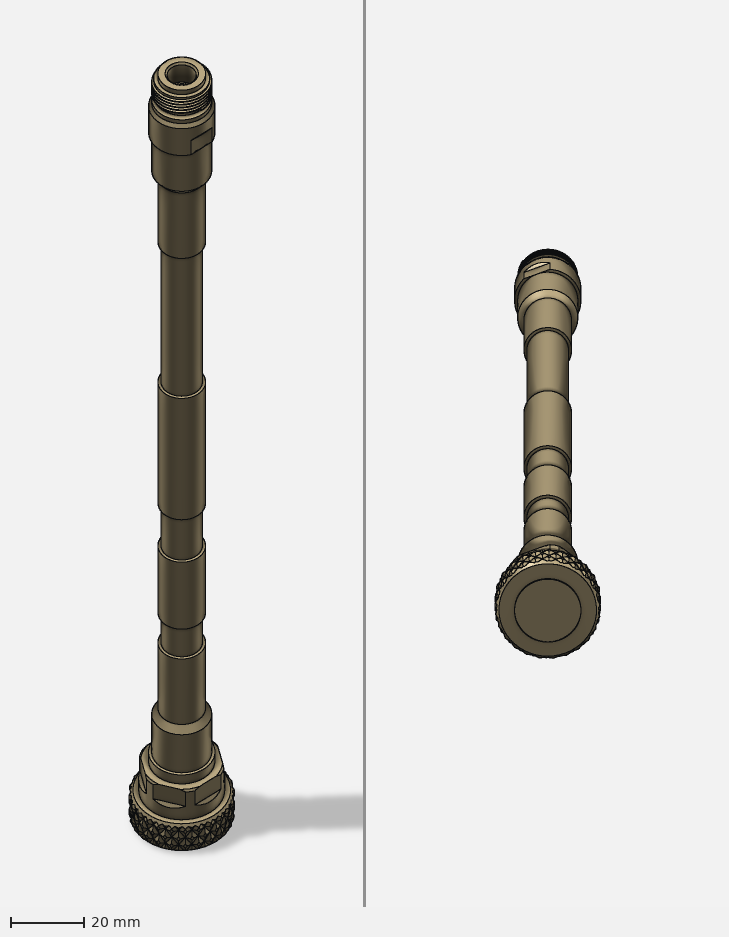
import cadquery as cq
import math


total_length = 283.5

cable_radius = 5.7
sleeve_radius = 6.5
marker_spans = [(120.0, 166.0), (78.2, 103.7)]

boot_radius = 8.2
boot_wall = 0.9
boot_length = 41.7
boot_wide_length = 14.5
boot_taper_length = 2.3

collar_radius = 9.0

nut_radius = 14.5
nut_height = 10.8
nut_lift = 0.5
nut_chamfer = 1.0
knurl_starts = 24
knurl_depth = 0.5
knurl_twist = 28.0
knurl_overshoot = 0.3
ring_diameter = 23.5
ring_top = 21.8
ring_chamfer = 0.5
ring_flats = 6
ring_flat_distance = 10.8
ring_flat_bottom = 16.0
bottom_collar_top = 25.2

top_collar_bottom = 261.0
top_collar_shoulder = 271.2
top_collar_taper = 1.0
top_flange_radius = 8.2
top_flange_top = 273.8
nose_radius = 6.5
top_flats = 2
top_flat_distance = 8.2
top_flat_top = 266.5
thread_bottom = 275.0
thread_top = 281.7
thread_core_radius = 7.7
thread_radius = 8.2
thread_pitch = 1.05
thread_root_half_width = 0.45
thread_crest_half_width = 0.15
thread_embed = 0.3
thread_end_margin = 0.5

bore_radius = 4.0
bore_depth = 8.5
bore_chamfer = 0.5
bore_step_radius = 3.0
bore_step_depth = 7.0
contact_radius = 1.0
contact_height = 4.3
contact_hole_radius = 0.5
contact_hole_depth = 2.8

tail_radius = boot_radius - boot_wall
bottom_tail_end = bottom_collar_top + boot_wide_length
top_tail_end = top_collar_bottom - boot_wide_length
ring_radius = ring_diameter / 2


def cylinder(radius, bottom, top):
    """Solid cylinder on the Z axis between two heights."""
    return cq.Workplane("XY").workplane(offset=bottom).circle(radius).extrude(top - bottom)


def revolved(profile):
    """Solid of revolution about Z from (radius, height) points."""
    return cq.Workplane("XZ").polyline(profile).close().revolve(360, (0, 0), (0, 1))


def wrench_flats(count, distance, round_radius, ledge, open_end):
    """Cutters for flats around Z, open at one end, with a 45 degree ledge at the other."""
    direction = math.copysign(1, open_end - ledge)
    outside = 2 * round_radius - distance
    profile = [
        (distance, open_end),
        (distance, ledge),
        (outside, ledge - direction * (outside - distance)),
        (outside, open_end),
    ]
    cutter = (
        cq.Workplane("XZ")
        .polyline(profile)
        .close()
        .extrude(ring_radius, both=True)
    )
    return [cutter.rotate((0, 0, 0), (0, 0, 1), 360 / count * i) for i in range(count)]


def make_cable():
    """Plain cable that butts against the tails of both connectors."""
    return cylinder(cable_radius, bottom_tail_end, top_tail_end)


def make_marker_sleeve(bottom, top):
    """Tube around the cable."""
    return cylinder(sleeve_radius, bottom, top).cut(cylinder(cable_radius, bottom, top))


def make_boot():
    """Stepped boot, wide end at Z = 0, narrow end pointing up."""
    taper_end = boot_wide_length + boot_taper_length
    return revolved([
        (tail_radius, 0),
        (boot_radius, 0),
        (boot_radius, boot_wide_length),
        (sleeve_radius, taper_end),
        (sleeve_radius, boot_length),
        (cable_radius, boot_length),
        (cable_radius, boot_wide_length),
        (tail_radius, boot_wide_length),
    ])


def twisted_star(height, twist):
    """Star-shaped prism twisted about Z, one point for each knurl start."""
    points = []
    half_step = math.pi / knurl_starts
    for i in range(2 * knurl_starts):
        is_peak = i % 2 == 0
        radius = nut_radius + knurl_overshoot if is_peak else nut_radius - knurl_depth
        points.append((radius * math.cos(i * half_step), radius * math.sin(i * half_step)))
    return cq.Workplane("XY").polyline(points).close().twistExtrude(height, twist)


def make_knurled_nut():
    """Coupling nut with chamfered rims and a diamond knurl of crossing helical grooves."""
    height = nut_height - nut_lift
    blank = cq.Workplane("XY").circle(nut_radius).extrude(height).edges().chamfer(nut_chamfer)
    right_handed = blank.intersect(twisted_star(height, knurl_twist))
    knurled = right_handed.intersect(twisted_star(height, -knurl_twist))
    return knurled.translate((0, 0, nut_lift))


def make_bottom_connector():
    """Core, hexagonally flatted ring and coupling nut in one body."""
    ring = cylinder(ring_radius, nut_height, ring_top).faces(">Z").chamfer(ring_chamfer)
    for cutter in wrench_flats(
        ring_flats, ring_flat_distance, ring_radius, ring_flat_bottom, ring_top
    ):
        ring = ring.cut(cutter)
    core = cylinder(collar_radius, 0, bottom_collar_top)
    tail = cylinder(tail_radius, bottom_collar_top, bottom_tail_end)
    return make_knurled_nut().union(core).union(ring).union(tail)


def make_thread():
    """Helical ridge that overlaps the thread core."""
    inner_radius = thread_core_radius - thread_embed
    start = thread_bottom + thread_end_margin
    height = thread_top - thread_bottom - 2 * thread_end_margin
    helix = cq.Workplane(obj=cq.Wire.makeHelix(thread_pitch, height, thread_core_radius))
    ridge = (
        cq.Workplane("XZ")
        .polyline([
            (inner_radius, -thread_root_half_width),
            (inner_radius, thread_root_half_width),
            (thread_radius, thread_crest_half_width),
            (thread_radius, -thread_crest_half_width),
        ])
        .close()
        .sweep(helix, isFrenet=True)
    )
    return ridge.translate((0, 0, start))


def make_socket():
    """Cutter for the stepped, chamfered bore, leaving a hollow contact on its floor."""
    floor = total_length - bore_depth
    contact_top = floor + contact_height
    return revolved([
        (contact_radius, floor),
        (bore_step_radius, floor),
        (bore_step_radius, total_length - bore_step_depth),
        (bore_radius, total_length - bore_step_depth),
        (bore_radius, total_length - bore_chamfer),
        (bore_radius + bore_chamfer, total_length),
        (0, total_length),
        (0, contact_top - contact_hole_depth),
        (contact_hole_radius, contact_top - contact_hole_depth),
        (contact_hole_radius, contact_top),
        (contact_radius, contact_top),
    ])


def make_top_connector():
    """Turned body with two wrench flats, an external thread and a socket."""
    body = revolved([
        (0, top_tail_end),
        (tail_radius, top_tail_end),
        (tail_radius, top_collar_bottom),
        (collar_radius, top_collar_bottom),
        (collar_radius, top_collar_shoulder),
        (top_flange_radius, top_collar_shoulder + top_collar_taper),
        (top_flange_radius, top_flange_top),
        (nose_radius, top_flange_top),
        (nose_radius, thread_bottom),
        (thread_core_radius, thread_bottom),
        (thread_core_radius, thread_top),
        (nose_radius, thread_top),
        (nose_radius, total_length),
        (0, total_length),
    ])
    for cutter in wrench_flats(
        top_flats, top_flat_distance, collar_radius, top_flat_top, top_collar_bottom
    ):
        body = body.cut(cutter)
    return body.union(make_thread()).cut(make_socket())


cable = make_cable()
markers = [make_marker_sleeve(bottom, top) for bottom, top in marker_spans]
bottom_boot = make_boot().translate((0, 0, bottom_collar_top))
top_boot = make_boot().rotate((0, 0, 0), (1, 0, 0), 180).translate((0, 0, top_collar_bottom))
bottom_connector = make_bottom_connector()
top_connector = make_top_connector()

result = cq.Compound.makeCompound([
    cable.val(),
    *[marker.val() for marker in markers],
    bottom_boot.val(),
    top_boot.val(),
    bottom_connector.val(),
    top_connector.val(),
])